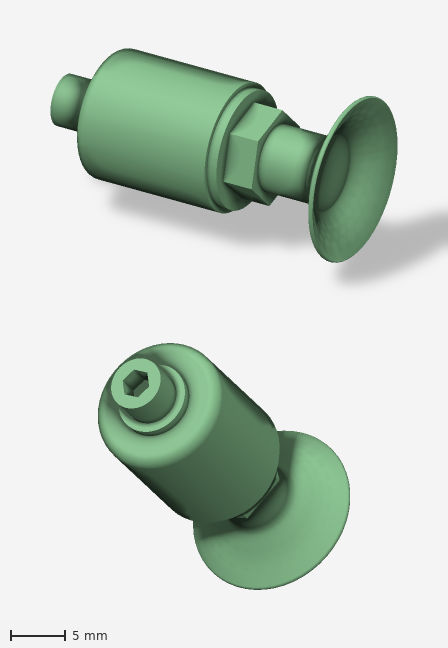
import cadquery as cq
import math


length = 31.05
flange_start = 3.6
barrel_start = 4.6
barrel_end = 18.6
collar_end = 19.6
nut_end = 22.6

stem_diameter = 5.0
flange_diameter = 6.7
barrel_diameter = 12.5
barrel_round = 1.0
collar_diameter = 11.5
nut_across_flats = 8.0
nut_angle = 15.0
socket_across_flats = 2.52
socket_angle = 22.5
socket_depth = 2.5

neck_radius = 3.25
root_start = 27.08
root_end = 27.92
root_end_radius = 3.65
bell_middle = 29.48
bell_middle_radius = 5.75
lip_width = 0.47
lip_side_radius = 7.8
cup_radius = 7.92


def plane_at(x):
    """Plane across the axis, with local x along Y, local y along Z and normal +X."""
    return cq.Workplane(cq.Plane(origin=(x, 0, 0), xDir=(0, 1, 0), normal=(1, 0, 0)))


def disc(start, end, diameter):
    return plane_at(start).circle(diameter / 2).extrude(end - start)


def hexagonal_bar(start, end, across_flats, angle):
    """Hexagonal prism with one corner turned by angle from +Y towards +Z."""
    across_corners = across_flats / math.cos(math.radians(30))
    bar = plane_at(start).polygon(6, across_corners).extrude(end - start)
    return bar.rotate((0, 0, 0), (1, 0, 0), angle)


def make_fitting():
    stem = disc(0, flange_start, stem_diameter)
    flange = disc(flange_start, barrel_start, flange_diameter)
    barrel = disc(barrel_start, barrel_end, barrel_diameter).faces("<X").edges().fillet(barrel_round)
    collar = disc(barrel_end, collar_end, collar_diameter)
    nut = hexagonal_bar(collar_end, nut_end, nut_across_flats, nut_angle)
    socket = hexagonal_bar(0, socket_depth, socket_across_flats, socket_angle)
    return stem.union(flange).union(barrel).union(collar).union(nut).cut(socket)


def make_suction_cup():
    """Neck seated on the nut face, flaring through a concave bell to a rounded lip.

    The inside of the bell repeats its outside, moved along X by the lip width.
    """
    lip_start = length - lip_width
    lip_middle = length - lip_width / 2
    profile = (
        cq.Workplane("XY")
        .moveTo(nut_end, 0)
        .lineTo(nut_end, neck_radius)
        .lineTo(root_start, neck_radius)
        .tangentArcPoint((root_end, root_end_radius), relative=False)
        .threePointArc((bell_middle, bell_middle_radius), (lip_start, lip_side_radius))
        .threePointArc((lip_middle, cup_radius), (length, lip_side_radius))
        .threePointArc(
            (bell_middle + lip_width, bell_middle_radius),
            (root_end + lip_width, root_end_radius),
        )
        .lineTo(root_end + lip_width, 0)
        .close()
    )
    return profile.revolve(360, (0, 0, 0), (1, 0, 0))


fitting = make_fitting()
suction_cup = make_suction_cup()

result = cq.Compound.makeCompound([fitting.val(), suction_cup.val()])